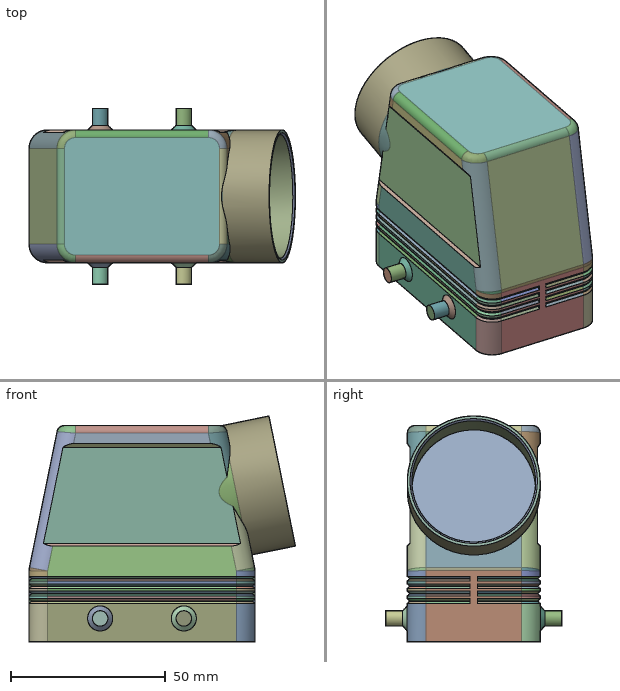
import cadquery as cq
import math

BODY_LENGTH = 73.1
BODY_WIDTH = 43.0
BODY_HEIGHT = 70.0
BEND_HEIGHT = 23.55
LEAN_ANGLE = 11.5
CORNER_RADIUS = 6.0
TOP_RADIUS = 2.5
BEND_RADIUS = 5.0

RECESS_BOTTOM = 31.05
RECESS_TOP = 64.2
RECESS_DEPTH = 0.9
RECESS_TOP_SLOPE = 1.2

GROOVE_COUNT = 4
GROOVE_PITCH = 2.4
GROOVE_LOWEST = 13.2
GROOVE_WIDTH = 1.55
GROOVE_DEPTH = 0.7
GROOVE_GAP = 2.6

PIN_RADIUS = 2.5
PIN_SPACING = 27.1
PIN_HEIGHT = 7.6
PIN_SPAN = 57.0
COLLAR_RADIUS = 4.05
COLLAR_HEIGHT = 1.5

TOTAL_LENGTH = 86.2
TOTAL_HEIGHT = 73.1
SPOUT_RADIUS = BODY_WIDTH / 2
SPOUT_LENGTH = 15.35
BORE_RADIUS = 20.0
BORE_DEPTH = SPOUT_LENGTH
BORE_CHAMFER = 0.6
CHAMFER_ANGLE = 45.0
ROOT_LENGTH = 8.6
ROOT_TAPER = 9.0

MID_X = BODY_LENGTH / 2
HALF_WIDTH = BODY_WIDTH / 2
LEAN = math.radians(LEAN_ANGLE)


def make_body():
    inset = (BODY_HEIGHT - BEND_HEIGHT) * math.tan(LEAN)
    profile = [
        (0, 0),
        (BODY_LENGTH, 0),
        (BODY_LENGTH, BEND_HEIGHT),
        (BODY_LENGTH - inset, BODY_HEIGHT),
        (inset, BODY_HEIGHT),
        (0, BEND_HEIGHT),
    ]
    body = cq.Workplane("XZ").polyline(profile).close().extrude(HALF_WIDTH, both=True)
    bend_corners = cq.selectors.BoxSelector(
        (-BODY_LENGTH, -BODY_WIDTH, BEND_HEIGHT - BEND_RADIUS),
        (2 * BODY_LENGTH, BODY_WIDTH, BEND_HEIGHT + BEND_RADIUS),
    )
    body = body.edges("|Y").edges(bend_corners).fillet(BEND_RADIUS)
    body = body.faces("<Y or >Y").edges("not |X").fillet(CORNER_RADIUS)
    return body.faces(">Z").edges().fillet(TOP_RADIUS)


def make_recess(side):
    """Trapezoid channel across the side wall at side = -1 or +1."""
    outer = side * HALF_WIDTH
    floor = side * (HALF_WIDTH - RECESS_DEPTH)
    section = [
        (outer, RECESS_BOTTOM),
        (floor, RECESS_BOTTOM + RECESS_DEPTH),
        (floor, RECESS_TOP - RECESS_TOP_SLOPE),
        (outer, RECESS_TOP),
    ]
    return cq.Workplane("YZ").polyline(section).close().extrude(BODY_LENGTH)


def make_groove(center_z):
    """Trapezoid section with 45-degree flanks swept around the base, broken at both end walls."""
    path = (
        cq.Workplane("XY", origin=(MID_X, 0, 0))
        .rect(BODY_LENGTH, BODY_WIDTH)
        .extrude(center_z)
        .edges("|Z")
        .fillet(CORNER_RADIUS)
        .faces(">Z")
        .wires()
    )
    half_mouth = GROOVE_WIDTH / 2
    half_floor = half_mouth - GROOVE_DEPTH
    section = [
        (-HALF_WIDTH, center_z - half_mouth),
        (GROOVE_DEPTH - HALF_WIDTH, center_z - half_floor),
        (GROOVE_DEPTH - HALF_WIDTH, center_z + half_floor),
        (-HALF_WIDTH, center_z + half_mouth),
    ]
    ring = cq.Workplane("YZ", origin=(MID_X, 0, 0)).polyline(section).close().sweep(path)
    gap = cq.Workplane("XY").center(MID_X, 0).rect(BODY_LENGTH, GROOVE_GAP).extrude(BODY_HEIGHT)
    return ring.cut(gap)


def make_pin(x, side):
    """Revolved pin and collar; starts inside the wall so that it joins the body."""
    tip = PIN_SPAN / 2
    root = HALF_WIDTH - CORNER_RADIUS
    outline = [
        (0, root),
        (COLLAR_RADIUS, root),
        (COLLAR_RADIUS, HALF_WIDTH),
        (PIN_RADIUS, HALF_WIDTH + COLLAR_HEIGHT),
        (PIN_RADIUS, tip),
        (0, tip),
    ]
    pin = cq.Workplane("XY").polyline(outline).close().revolve(360, (0, 0), (0, 1))
    if side < 0:
        pin = pin.mirror("XZ")
    return pin.translate((x, 0, PIN_HEIGHT))


def make_spout():
    """Tube and tapered root on an axis square to the leaning end wall, and the bore to cut from it."""
    mouth_x = TOTAL_LENGTH - SPOUT_RADIUS * math.sin(LEAN)
    mouth_z = TOTAL_HEIGHT - SPOUT_RADIUS * math.cos(LEAN)
    inward = cq.Plane(
        origin=(mouth_x, 0, mouth_z),
        xDir=(0, 1, 0),
        normal=(-math.cos(LEAN), 0, -math.sin(LEAN)),
    )
    tube = cq.Workplane(inward).circle(SPOUT_RADIUS).extrude(SPOUT_LENGTH)
    root = (
        cq.Workplane(inward)
        .workplane(offset=SPOUT_LENGTH)
        .circle(SPOUT_RADIUS)
        .extrude(ROOT_LENGTH, taper=ROOT_TAPER)
    )
    bore = cq.Workplane(inward).circle(BORE_RADIUS).extrude(BORE_DEPTH)
    mouth_chamfer = (
        cq.Workplane(inward)
        .circle(BORE_RADIUS + BORE_CHAMFER)
        .extrude(BORE_CHAMFER, taper=CHAMFER_ANGLE)
    )
    return tube.union(root), bore.union(mouth_chamfer)


result = make_body()

for side in (-1, 1):
    result = result.cut(make_recess(side))

for index in range(GROOVE_COUNT):
    result = result.cut(make_groove(GROOVE_LOWEST + index * GROOVE_PITCH))

for side in (-1, 1):
    for x in (MID_X - PIN_SPACING / 2, MID_X + PIN_SPACING / 2):
        result = result.union(make_pin(x, side))

spout, bore = make_spout()
result = result.union(spout).cut(bore)